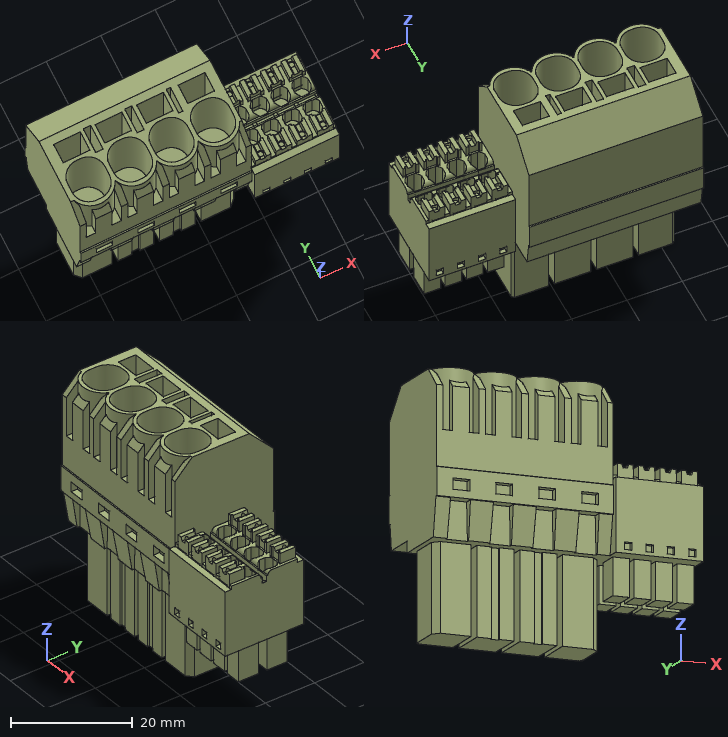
import cadquery as cq


POLES = 4
TALL_WIDTH = 31.4
TALL_HEIGHT = 29.1
TALL_DEPTH = 20.05
TALL_PITCH = 7.6
FIRST_TALL_POLE = 4.37
FRONT_CHAMFER = 3.5
BACK_CHAMFER = 4.95
BELT_OVERHANG = 0.3
BELT_BOTTOM = 6.7
BELT_TOP = 11.65
SKIRT_TOP_INSET = 0.15
SKIRT_FRONT_INSET = 1.25
SKIRT_BACK_INSET = 0.75
HEEL_HEIGHT = 2.0
HEEL_Y = 12.45

SHAFT_WIDTH = 6.8
SHAFT_LENGTH = 7.55
SHAFT_CORNER = 3.05
SHAFT_Y = 5.65
SHAFT_DEPTH = 16.45
COLLAR_RADIUS = 4.15
COLLAR_Y = 5.15
FRONT_SLOT_BOTTOM = 18.05
FRONT_SLOT_INNER = 1.5
FRONT_SLOT_OUTER = 3.2

ENTRY_WIDTH = 4.9
ENTRY_LENGTH = 3.55
ENTRY_Y = 11.8
ENTRY_DEPTH = 14.1
GAP_SLOT_WIDTHS = [1.35, 1.25, 0.75]
GAP_SLOT_LEFT = 7.5
GAP_SLOT_LENGTH = 4.55
GAP_SLOT_Y = 11.5
GAP_SLOT_DEPTH = 9.4

BELT_WINDOW_WIDTH = 2.95
BELT_WINDOW_HEIGHT = 1.95
BELT_WINDOW_Z = 9.0
BELT_WINDOW_DEPTH = 1.25
SKIRT_RECESS_TOP = 3.55
SKIRT_RECESS_BOTTOM = 3.8
SKIRT_RECESS_Y = 1.8

LEG_WIDTH = 6.6
LEG_LENGTH = 15.55
LEG_FRONT_Y = 3.55
LEG_BACK_Y = 11.4
LEG_FRONT_CHAMFER = 1.15
LEG_BACK_CHAMFER = 0.45
LEG_GROOVE_WIDTH = 1.45
LEG_GROOVE_DEPTH = 0.4

TOTAL_WIDTH = 47.05
SMALL_FRONT_Y = -1.2
SMALL_BACK_Y = 14.75
SMALL_WALL = 1.25
SMALL_WALL_TOP = 12.8
SMALL_TOP = 13.45
SMALL_PITCH = 3.8
FIRST_SMALL_POLE = 33.63
SMALL_WINDOW = 1.25
SMALL_WINDOW_Z = 1.25
SMALL_WINDOW_DEPTH = 0.75
SMALL_LEG_WIDTH = 3.0
SMALL_LEG_DEPTH = 4.15
SMALL_LEG_LENGTH = 6.6
SMALL_LEG_OFFSET = 5.0

GROOVE_WIDTH = 0.8
GROOVE_DEPTH = 1.15
GROOVE_POCKET_WIDTH = 3.15
GROOVE_POCKET_DEPTH = 0.25
SHOULDER_OFFSET = 0.7
SHOULDER_RADIUS = 0.8
WIRE_HOLE_WIDTH = 3.0
WIRE_HOLE_RADIUS = 1.6
WIRE_HOLE_OFFSET = 0.6
WIRE_HOLE_DEPTH = 6.6

BUTTON_WIDTH = 2.85
BUTTON_LENGTH = 3.15
BUTTON_TOP = 15.5
BUTTON_BOTTOM = 8.45
NOTCH_TOP_WIDTH = 1.2
NOTCH_FLOOR_WIDTH = 0.7
NOTCH_DEPTH = 0.65
BUTTON_HOLE_RADIUS = 0.5
BUTTON_HOLE_INSET = 1.0
BUTTON_HOLE_DEPTH = 1.2
FACE_RECESS_WIDTH = 1.95
FACE_RECESS_DEPTH = 0.35
FACE_RECESS_HEIGHT = 2.1
SILL_TOP = 13.0
SILL_WIDTH = 2.2
SILL_DEPTH = 0.25

small_mid_y = (SMALL_FRONT_Y + SMALL_BACK_Y) / 2
core_front_y = SMALL_FRONT_Y + SMALL_WALL
core_back_y = SMALL_BACK_Y - SMALL_WALL
tall_poles = [FIRST_TALL_POLE + i * TALL_PITCH for i in range(POLES)]
small_poles = [FIRST_SMALL_POLE + i * SMALL_PITCH for i in range(POLES)]


def box(x0, x1, y0, y1, z0, z1):
    """Box between two corners."""
    return cq.Workplane("XY").box(x1 - x0, y1 - y0, z1 - z0, centered=False).translate((x0, y0, z0))


def extrude_along_x(points, x0, x1):
    """Prism of a (Y, Z) outline between two X positions."""
    return cq.Workplane("YZ").workplane(offset=x0).polyline(points).close().extrude(x1 - x0)


def back_copy(front_body):
    """Mirror image of a front row feature in the back row of the small block."""
    return front_body.mirror("XZ", (0, small_mid_y, 0))


def collar(x):
    """Round collar about a screw shaft, down to the floor of the front slots."""
    return (
        cq.Workplane("XY").workplane(offset=FRONT_SLOT_BOTTOM)
        .center(x, COLLAR_Y)
        .circle(COLLAR_RADIUS)
        .extrude(TALL_HEIGHT - FRONT_SLOT_BOTTOM)
    )


def screw_shaft(x):
    """Deep oblong shaft with large corner radii."""
    return (
        cq.Workplane("XY").workplane(offset=TALL_HEIGHT - SHAFT_DEPTH)
        .center(x, SHAFT_Y)
        .rect(SHAFT_WIDTH, SHAFT_LENGTH)
        .extrude(SHAFT_DEPTH)
        .edges("|Z").fillet(SHAFT_CORNER)
    )


def tall_block():
    back = TALL_DEPTH
    outline = [
        (SKIRT_FRONT_INSET, 0),
        (SKIRT_TOP_INSET, BELT_BOTTOM),
        (-BELT_OVERHANG, BELT_BOTTOM),
        (-BELT_OVERHANG, BELT_TOP),
        (0, BELT_TOP),
        (0, TALL_HEIGHT - FRONT_CHAMFER),
        (FRONT_CHAMFER, TALL_HEIGHT),
        (back - BACK_CHAMFER, TALL_HEIGHT),
        (back, TALL_HEIGHT - BACK_CHAMFER),
        (back, BELT_TOP),
        (back + BELT_OVERHANG, BELT_TOP),
        (back + BELT_OVERHANG, BELT_BOTTOM),
        (back - SKIRT_TOP_INSET, BELT_BOTTOM),
        (back - SKIRT_BACK_INSET, HEEL_HEIGHT),
        (HEEL_Y, HEEL_HEIGHT),
        (HEEL_Y, 0),
    ]
    block = extrude_along_x(outline, 0, TALL_WIDTH)
    for x in tall_poles:
        block = block.cut(front_slots(x))
    for x in tall_poles:
        block = block.union(collar(x).intersect(box(0, TALL_WIDTH, 0, back, 0, TALL_HEIGHT)))
    for x in tall_poles:
        block = block.cut(screw_shaft(x))
        block = block.cut(wire_entry(x)).cut(belt_window(x)).cut(skirt_recess(x))
    return block.cut(gap_slots())


def front_slots(x):
    """Pair of slots that lay the collar bare on both sides of a middle lug."""
    slots = cq.Workplane("XY")
    for side in (-1, 1):
        inner = x + side * FRONT_SLOT_INNER
        outer = x + side * FRONT_SLOT_OUTER
        slots = slots.add(
            box(min(inner, outer), max(inner, outer), 0, COLLAR_Y, FRONT_SLOT_BOTTOM, TALL_HEIGHT)
        )
    return slots.combine()


def wire_entry(x):
    half_width = ENTRY_WIDTH / 2
    half_length = ENTRY_LENGTH / 2
    return box(
        x - half_width, x + half_width, ENTRY_Y - half_length, ENTRY_Y + half_length,
        TALL_HEIGHT - ENTRY_DEPTH, TALL_HEIGHT,
    )


def gap_slots():
    """Slots between neighbouring wire entries, each with its own width."""
    slots = cq.Workplane("XY")
    half_length = GAP_SLOT_LENGTH / 2
    for i, width in enumerate(GAP_SLOT_WIDTHS):
        left = GAP_SLOT_LEFT + i * TALL_PITCH
        slots = slots.add(
            box(
                left, left + width, GAP_SLOT_Y - half_length, GAP_SLOT_Y + half_length,
                TALL_HEIGHT - GAP_SLOT_DEPTH, TALL_HEIGHT,
            )
        )
    return slots.combine()


def belt_window(x):
    half_width = BELT_WINDOW_WIDTH / 2
    half_height = BELT_WINDOW_HEIGHT / 2
    return box(
        x - half_width, x + half_width, -BELT_OVERHANG, BELT_WINDOW_DEPTH - BELT_OVERHANG,
        BELT_WINDOW_Z - half_height, BELT_WINDOW_Z + half_height,
    )


def skirt_recess(x):
    """Upright recess in the sloping skirt, slightly wider at its foot."""
    half_top = SKIRT_RECESS_TOP / 2
    half_bottom = SKIRT_RECESS_BOTTOM / 2
    return (
        cq.Workplane("XZ")
        .polyline([
            (x - half_bottom, 0),
            (x + half_bottom, 0),
            (x + half_top, BELT_BOTTOM),
            (x - half_top, BELT_BOTTOM),
        ])
        .close()
        .extrude(-SKIRT_RECESS_Y)
    )


def power_leg(index):
    """Plug leg: the end legs have chamfered outer corners, the middle legs a front groove."""
    x = tall_poles[index]
    left = x - LEG_WIDTH / 2
    right = x + LEG_WIDTH / 2
    leg = box(left, right, LEG_FRONT_Y, LEG_BACK_Y, -LEG_LENGTH, 0)
    if index in (0, POLES - 1):
        outer_face = "<X" if index == 0 else ">X"
        leg = leg.faces(outer_face).edges("<Y").chamfer(LEG_FRONT_CHAMFER)
        return leg.faces(outer_face).edges(">Y").chamfer(LEG_BACK_CHAMFER)
    half_groove = LEG_GROOVE_WIDTH / 2
    return leg.cut(
        box(x - half_groove, x + half_groove, LEG_FRONT_Y, LEG_FRONT_Y + LEG_GROOVE_DEPTH, -LEG_LENGTH, 0)
    )


def small_block():
    block = box(TALL_WIDTH, TOTAL_WIDTH, SMALL_FRONT_Y, SMALL_BACK_Y, 0, SMALL_WALL_TOP)
    block = block.union(box(TALL_WIDTH, TOTAL_WIDTH, core_front_y, core_back_y, 0, SMALL_TOP))
    block = block.cut(shoulder()).cut(back_copy(shoulder())).cut(middle_groove())
    for x in small_poles:
        for feature in (wire_hole(x), small_window(x)):
            block = block.cut(feature).cut(back_copy(feature))
        block = block.union(small_leg(x)).union(back_copy(small_leg(x)))
    return block


def shoulder():
    """Material removed to round the front edge of the middle groove."""
    foot_y = small_mid_y - SHOULDER_OFFSET
    crown_y = foot_y - SHOULDER_RADIUS
    foot_z = SMALL_TOP - SHOULDER_RADIUS
    cutter = box(TALL_WIDTH, TOTAL_WIDTH, crown_y, small_mid_y, foot_z, SMALL_TOP)
    round_bar = (
        cq.Workplane("YZ").workplane(offset=TALL_WIDTH)
        .center(crown_y, foot_z)
        .circle(SHOULDER_RADIUS)
        .extrude(TOTAL_WIDTH - TALL_WIDTH)
    )
    return cutter.cut(round_bar)


def middle_groove():
    """Groove between the two rows, with a shallow pocket in its floor at each pole."""
    front = small_mid_y - GROOVE_WIDTH / 2
    back = small_mid_y + GROOVE_WIDTH / 2
    floor = SMALL_TOP - SHOULDER_RADIUS - GROOVE_DEPTH
    groove = box(TALL_WIDTH, TOTAL_WIDTH, front, back, floor, SMALL_TOP)
    half_width = GROOVE_POCKET_WIDTH / 2
    for x in small_poles:
        groove = groove.union(
            box(x - half_width, x + half_width, front, back, floor - GROOVE_POCKET_DEPTH, floor)
        )
    return groove


def wire_hole(x):
    """Front row wire hole: round, with four flats, from the button to the middle groove."""
    front = core_front_y + BUTTON_LENGTH
    back = small_mid_y - WIRE_HOLE_OFFSET
    half_width = WIRE_HOLE_WIDTH / 2
    bottom = SMALL_TOP - WIRE_HOLE_DEPTH
    bore = (
        cq.Workplane("XY").workplane(offset=bottom)
        .center(x, (front + back) / 2)
        .circle(WIRE_HOLE_RADIUS)
        .extrude(WIRE_HOLE_DEPTH)
    )
    return bore.intersect(box(x - half_width, x + half_width, front, back, bottom, SMALL_TOP))


def small_window(x):
    half = SMALL_WINDOW / 2
    return box(
        x - half, x + half, SMALL_FRONT_Y, SMALL_FRONT_Y + SMALL_WINDOW_DEPTH,
        SMALL_WINDOW_Z - half, SMALL_WINDOW_Z + half,
    )


def small_leg(x):
    half = SMALL_LEG_WIDTH / 2
    front = small_mid_y - SMALL_LEG_OFFSET
    return box(x - half, x + half, front, front + SMALL_LEG_DEPTH, -SMALL_LEG_LENGTH, 0)


def button_blank(x):
    """Outer form of a front row button, stepped over the sill at its outer foot."""
    left = x - BUTTON_WIDTH / 2
    right = x + BUTTON_WIDTH / 2
    blank = box(left, right, core_front_y, core_front_y + BUTTON_LENGTH, BUTTON_BOTTOM, BUTTON_TOP)
    sill = box(left, left + SILL_WIDTH, core_front_y, core_front_y + SILL_DEPTH, BUTTON_BOTTOM, SILL_TOP)
    return blank.cut(sill)


def release_button(x):
    """Front row button with a screwdriver notch, a test hole and a recess in its inner face."""
    inner_y = core_front_y + BUTTON_LENGTH
    notch_floor = BUTTON_TOP - NOTCH_DEPTH
    half_top = NOTCH_TOP_WIDTH / 2
    half_floor = NOTCH_FLOOR_WIDTH / 2
    half_recess = FACE_RECESS_WIDTH / 2
    notch = (
        cq.Workplane("XZ", origin=(0, core_front_y, 0))
        .polyline([
            (x - half_floor, notch_floor), (x + half_floor, notch_floor),
            (x + half_top, BUTTON_TOP), (x - half_top, BUTTON_TOP),
        ])
        .close()
        .extrude(-BUTTON_LENGTH)
    )
    test_hole = (
        cq.Workplane("XY").workplane(offset=BUTTON_TOP - BUTTON_HOLE_DEPTH)
        .center(x, core_front_y + BUTTON_HOLE_INSET)
        .circle(BUTTON_HOLE_RADIUS)
        .extrude(BUTTON_HOLE_DEPTH)
    )
    face_recess = box(
        x - half_recess, x + half_recess, inner_y - FACE_RECESS_DEPTH, inner_y,
        BUTTON_TOP - FACE_RECESS_HEIGHT, BUTTON_TOP,
    )
    return button_blank(x).cut(notch).cut(test_hole).cut(face_recess)


housing = tall_block().union(small_block())
for leg_index in range(POLES):
    housing = housing.union(power_leg(leg_index))
for pole_x in small_poles:
    seat = button_blank(pole_x)
    housing = housing.cut(seat).cut(back_copy(seat))

buttons = []
for pole_x in small_poles:
    button = release_button(pole_x)
    buttons.append(button.solids().val())
    buttons.append(back_copy(button).solids().val())

result = cq.Compound.makeCompound([housing.solids().val(), *buttons])